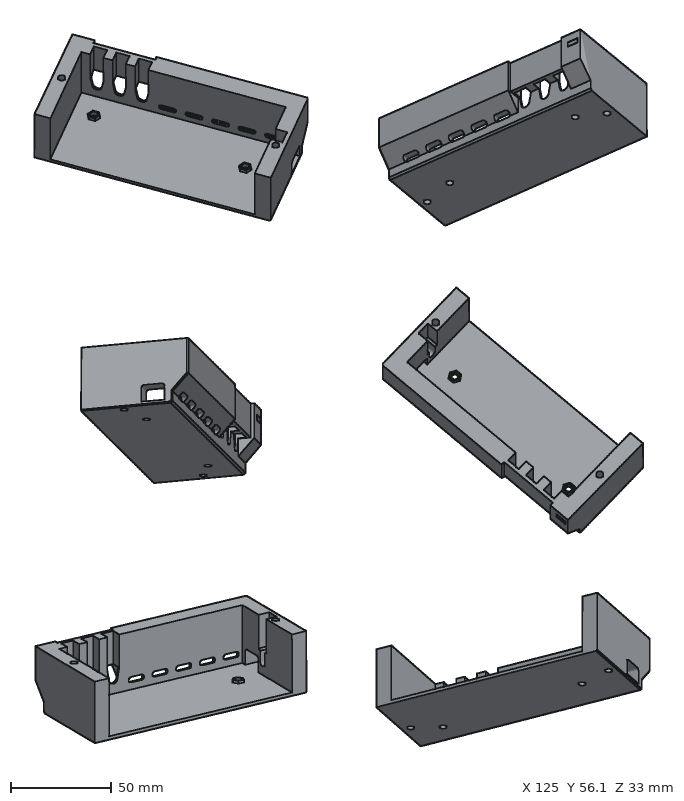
import cadquery as cq
import math

LENGTH = 125.0
BODY_DEPTH = 55.9
HEIGHT = 33.0
SIDE_WALL = 8.5
FLOOR = 1.9
POCKET_BACK = 46.4
FRONT_LEAN = 0.2

FOOT_DEPTH = 47.6
OVERHANG_LOW = 6.0
OVERHANG_HIGH = 14.8
FOOT_CHAMFER = 1.0
END_CHAMFER = 0.6
LEFT_TAPER = 0.4

SLOT_COUNT = 3
SLOT_WIDTH = 7.0
SLOT_PITCH = 11.9
SLOT_FIRST_X = 16.6
SLOT_BACK = 51.9
SLOT_SHOULDER = 15.1
SLOT_BOTTOM = 7.2
SLOT_TIP_RADIUS = 2.5

PANEL_WIDTH = 32.6
PANEL_DEPTH = 1.9
PANEL_CENTER_X = SLOT_FIRST_X + SLOT_PITCH * (SLOT_COUNT - 1) / 2

VENT_COUNT = 5
VENT_LENGTH = 9.0
VENT_HEIGHT = 2.9
VENT_PITCH = 14.0
VENT_FIRST_X = 54.0
VENT_Z = 7.1

SIDE_SLOT_CENTER_Y = 27.6
SIDE_SLOT_DEPTH = 6.1
SIDE_SLOT_INSET = 1.4
SIDE_SLOT_SHOULDER = 14.9
SIDE_SLOT_BOTTOM = 6.5
SIDE_SLOT_SHOULDER_DROP = 0.8
PORT_FRONT = 31.5
PORT_WIDTH = 12.0
PORT_HEIGHT = 8.6
PORT_RADIUS = 1.5

HOLE_DIAMETER = 3.6
SCREW_POINTS = [(4.9, 27.1), (120.1, 21.1)]
BOSS_POINTS = [(19.5, 34.0), (101.9, 27.1)]

BOSS_SIDES = 6
BOSS_BASE = 6.9
BOSS_TOP = 5.4
BOSS_HEIGHT = 1.1

PAD_LENGTH = 6.1
PAD_HEIGHT = 2.6
PAD_THICKNESS = 0.2
PAD_CENTER_X = 5.0
PAD_CENTER_Z = 26.8


def box(x0, x1, y0, y1, z0, z1):
    """Box between two opposite corners."""
    return cq.Workplane("XY").box(x1 - x0, y1 - y0, z1 - z0, centered=False).translate((x0, y0, z0))


def polyhedron(faces):
    """Solid bounded by flat faces, each a list of corner points."""
    flats = []
    for corners in faces:
        outline = cq.Wire.makePolygon([cq.Vector(*corner) for corner in corners], close=True)
        flats.append(cq.Face.makeFromWires(outline))
    return cq.Workplane(cq.Solid.makeSolid(cq.Shell.makeShell(flats)))


def make_body():
    """Side profile with the stepped back, extruded along the full length."""
    body = (
        cq.Workplane("YZ")
        .moveTo(0, 0)
        .lineTo(FOOT_DEPTH - FOOT_CHAMFER, 0)
        .lineTo(FOOT_DEPTH, FOOT_CHAMFER)
        .lineTo(FOOT_DEPTH, OVERHANG_LOW)
        .lineTo(BODY_DEPTH, OVERHANG_HIGH)
        .lineTo(BODY_DEPTH, HEIGHT)
        .lineTo(FRONT_LEAN, HEIGHT)
        .close()
        .extrude(LENGTH)
    )
    return body.faces(">X").edges("not(>Z or <Y)").chamfer(END_CHAMFER)


def left_taper():
    """Sliver that draws the left face inward towards its upper back edge."""
    front = (0, FRONT_LEAN, HEIGHT)
    foot = (0, FOOT_DEPTH, OVERHANG_LOW)
    top_out = (0, BODY_DEPTH, HEIGHT)
    low_out = (0, BODY_DEPTH, OVERHANG_HIGH)
    top_in = (LEFT_TAPER, BODY_DEPTH, HEIGHT)
    low_in = (LEFT_TAPER, BODY_DEPTH, OVERHANG_HIGH)
    return polyhedron([
        [front, top_in, foot],
        [top_in, low_in, foot],
        [front, foot, low_out, top_out],
        [front, top_out, top_in],
        [top_out, low_out, low_in, top_in],
        [low_out, foot, low_in],
    ])


def cable_slot(x):
    """Square slot from the top, with a tapering rounded mouth below its shoulder."""
    half = SLOT_WIDTH / 2
    shaft = box(x - half, x + half, POCKET_BACK, SLOT_BACK, SLOT_SHOULDER, HEIGHT)
    tip_z = SLOT_BOTTOM + SLOT_TIP_RADIUS
    rise = SLOT_SHOULDER - tip_z
    tangent_angle = math.atan2(rise, half) - math.acos(SLOT_TIP_RADIUS / math.hypot(half, rise))
    tangent_x = SLOT_TIP_RADIUS * math.cos(tangent_angle)
    tangent_z = tip_z + SLOT_TIP_RADIUS * math.sin(tangent_angle)
    mouth = (
        cq.Workplane("XZ", origin=(x, POCKET_BACK, 0))
        .moveTo(-half, SLOT_SHOULDER)
        .lineTo(-tangent_x, tangent_z)
        .threePointArc((0, SLOT_BOTTOM), (tangent_x, tangent_z))
        .lineTo(half, SLOT_SHOULDER)
        .close()
        .extrude(POCKET_BACK - BODY_DEPTH)
    )
    return shaft.union(mouth)


def panel_recess():
    """Shallow recess in the back that clears the overhang below the slot shoulders."""
    x0 = PANEL_CENTER_X - PANEL_WIDTH / 2
    x1 = PANEL_CENTER_X + PANEL_WIDTH / 2
    upper = box(x0, x1, BODY_DEPTH - PANEL_DEPTH, BODY_DEPTH, 0, HEIGHT)
    lower = box(x0, x1, FOOT_DEPTH, BODY_DEPTH, 0, SLOT_SHOULDER)
    return upper.union(lower)


def vents():
    """Row of round-ended vents through the back wall."""
    points = [(VENT_FIRST_X + i * VENT_PITCH, VENT_Z) for i in range(VENT_COUNT)]
    return (
        cq.Workplane("XZ", origin=(0, POCKET_BACK, 0))
        .pushPoints(points)
        .slot2D(VENT_LENGTH, VENT_HEIGHT)
        .extrude(POCKET_BACK - BODY_DEPTH)
    )


def side_slot():
    """Blind slot in the right wall with sloping shoulders and a round bottom."""
    half = SLOT_WIDTH / 2
    radius = half - SIDE_SLOT_INSET
    neck_z = SIDE_SLOT_SHOULDER - SIDE_SLOT_SHOULDER_DROP
    tip_z = SIDE_SLOT_BOTTOM + radius
    return (
        cq.Workplane("YZ", origin=(LENGTH - SIDE_WALL, SIDE_SLOT_CENTER_Y, 0))
        .moveTo(-half, HEIGHT)
        .lineTo(-half, SIDE_SLOT_SHOULDER)
        .lineTo(-radius, neck_z)
        .lineTo(-radius, tip_z)
        .threePointArc((0, SIDE_SLOT_BOTTOM), (radius, tip_z))
        .lineTo(radius, neck_z)
        .lineTo(half, SIDE_SLOT_SHOULDER)
        .lineTo(half, HEIGHT)
        .close()
        .extrude(SIDE_SLOT_DEPTH)
    )


def side_port():
    """Connector opening through the right wall at floor level, rounded on top."""
    port = box(LENGTH - SIDE_WALL, LENGTH, PORT_FRONT, PORT_FRONT + PORT_WIDTH, FLOOR, FLOOR + PORT_HEIGHT)
    return port.edges("|X and >Z").fillet(PORT_RADIUS)


def bosses():
    """Tapered hexagonal bosses on the floor."""
    flat_inset = (BOSS_BASE - BOSS_TOP) / 2 * math.cos(math.pi / BOSS_SIDES)
    taper = math.degrees(math.atan2(flat_inset, BOSS_HEIGHT))
    return (
        cq.Workplane("XY", origin=(0, 0, FLOOR))
        .pushPoints(BOSS_POINTS)
        .polygon(BOSS_SIDES, BOSS_BASE)
        .extrude(BOSS_HEIGHT, taper=taper)
    )


def back_pad():
    """Plain raised pad on the back face."""
    return box(
        PAD_CENTER_X - PAD_LENGTH / 2, PAD_CENTER_X + PAD_LENGTH / 2,
        BODY_DEPTH, BODY_DEPTH + PAD_THICKNESS,
        PAD_CENTER_Z - PAD_HEIGHT / 2, PAD_CENTER_Z + PAD_HEIGHT / 2,
    )


tray_pocket = box(SIDE_WALL, LENGTH - SIDE_WALL, 0, POCKET_BACK, FLOOR, HEIGHT)
holes = (
    cq.Workplane("XY")
    .pushPoints(SCREW_POINTS + BOSS_POINTS)
    .circle(HOLE_DIAMETER / 2)
    .extrude(HEIGHT)
)

result = make_body().cut(left_taper()).cut(tray_pocket).cut(panel_recess())
for i in range(SLOT_COUNT):
    result = result.cut(cable_slot(SLOT_FIRST_X + i * SLOT_PITCH))
result = result.cut(vents()).cut(side_slot()).cut(side_port())
result = result.union(bosses()).union(back_pad()).cut(holes)